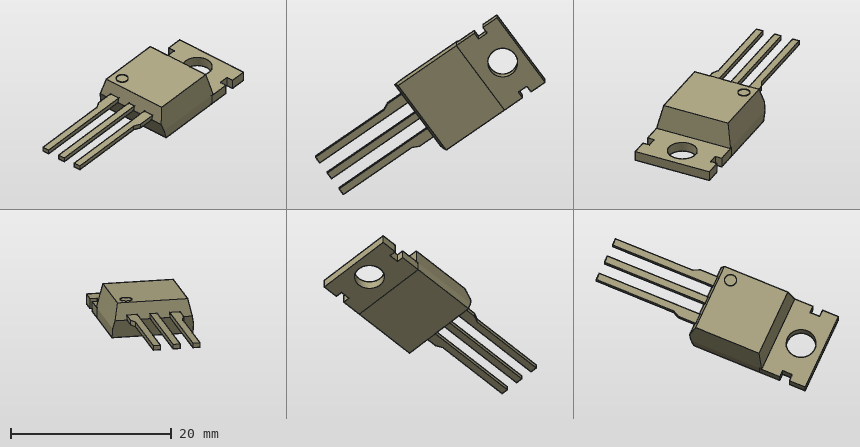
import cadquery as cq


package_width = 10.3
package_length = 29.3
package_height = 4.5

tab_thickness = 1.3
tab_length = 6.2
hole_diameter = 3.7
hole_y = -2.8
notch_depth = 0.9
notch_width = 1.3
notch_y = hole_y

housing_top_width = 8.95
housing_back_y = -5.9
housing_top_back_y = -6.55
housing_top_front_y = -15.15
housing_nose_y = -15.8
housing_bottom_front_y = -15.1

lead_thickness = 0.6
lead_bottom_z = 2.4
lead_width = 0.92
lead_pitch = 2.52
shoulder_width = 0.42
shoulder_end_y = -17.95
shoulder_taper_length = 0.85
lead_root_y = -15.0
lead_tip_y = -package_length

mark_diameter = 1.5
mark_depth = 0.1
mark_x = -3.08
mark_y = -13.72


def make_tab():
    plate = cq.Workplane("XY").box(
        package_width, tab_length, tab_thickness, centered=(True, False, False)
    ).translate((0, -tab_length, 0))
    hole = cq.Workplane("XY").center(0, hole_y).circle(hole_diameter / 2).extrude(tab_thickness)
    notches = (
        cq.Workplane("XY")
        .pushPoints([(side * package_width / 2, notch_y) for side in (-1, 1)])
        .rect(2 * notch_depth, notch_width)
        .extrude(tab_thickness)
    )
    return plate.cut(hole).cut(notches)


def make_housing_blank():
    side_profile = (
        cq.Workplane("YZ")
        .moveTo(-tab_length, 0)
        .lineTo(-tab_length, tab_thickness)
        .lineTo(housing_back_y, tab_thickness)
        .lineTo(housing_top_back_y, package_height)
        .lineTo(housing_top_front_y, package_height)
        .lineTo(housing_nose_y, lead_bottom_z)
        .lineTo(housing_bottom_front_y, 0)
        .close()
        .extrude(package_width / 2, both=True)
    )
    end_profile = (
        cq.Workplane("XZ")
        .moveTo(-package_width / 2, 0)
        .lineTo(package_width / 2, 0)
        .lineTo(package_width / 2, tab_thickness)
        .lineTo(housing_top_width / 2, package_height)
        .lineTo(-housing_top_width / 2, package_height)
        .lineTo(-package_width / 2, tab_thickness)
        .close()
        .extrude(package_length)
    )
    return side_profile.intersect(end_profile)


def make_lead(position):
    center_x = position * lead_pitch
    outer_x = center_x + position * lead_width / 2
    lead = (
        cq.Workplane("XY", origin=(center_x, (lead_root_y + lead_tip_y) / 2, lead_bottom_z))
        .rect(lead_width, lead_root_y - lead_tip_y)
        .extrude(lead_thickness)
    )
    if position == 0:
        return lead
    shoulder = (
        cq.Workplane("XY", origin=(0, 0, lead_bottom_z))
        .moveTo(center_x, lead_root_y)
        .lineTo(outer_x + position * shoulder_width, lead_root_y)
        .lineTo(outer_x + position * shoulder_width, shoulder_end_y)
        .lineTo(outer_x, shoulder_end_y - shoulder_taper_length)
        .lineTo(center_x, shoulder_end_y - shoulder_taper_length)
        .close()
        .extrude(lead_thickness)
    )
    return lead.union(shoulder)


def make_mark():
    return (
        cq.Workplane("XY", origin=(mark_x, mark_y, package_height))
        .circle(mark_diameter / 2)
        .extrude(-mark_depth)
    )


tab = make_tab()
leads = [make_lead(position) for position in (-1, 0, 1)]
mark = make_mark()

housing = make_housing_blank().cut(mark)
for lead in leads:
    housing = housing.cut(lead)

result = cq.Compound.makeCompound(
    [tab.val(), housing.val(), mark.val(), *[lead.val() for lead in leads]]
)